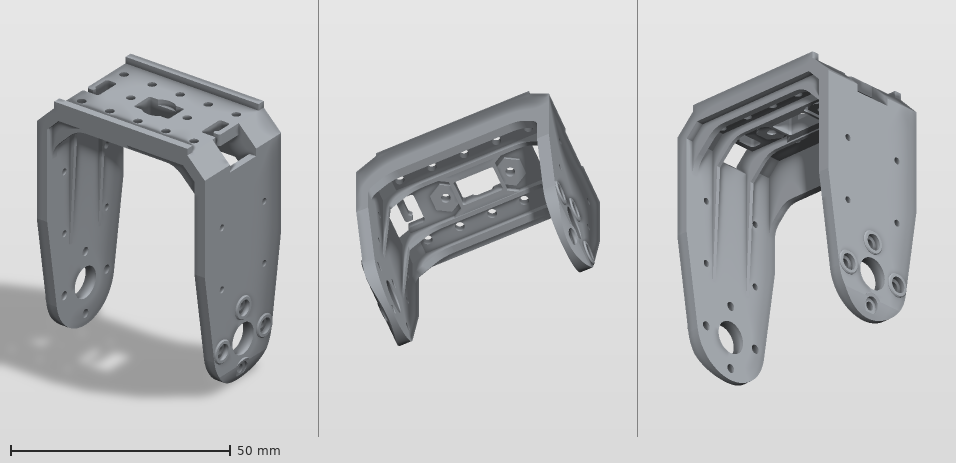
import cadquery as cq
import math


WIDTH_Y = 29.0
HALF_Y = WIDTH_Y / 2
OUTER_X = 24.0
WALL = 3.0
INNER_X = OUTER_X - WALL
PLATE_X = 19.0
TIP_R = 11.0
TOP_Z = 64.7 - TIP_R
RAIL_H = 1.7
RAIL_W = 1.95
PLATE_TOP = TOP_Z - RAIL_H
PLATE_BOTTOM = PLATE_TOP - WALL
CORNER = OUTER_X - PLATE_X
INNER_SHIFT = WALL * math.tan(math.radians(22.5))
TAPER_Z = 21.85

TIP_BEVEL_Z = -6.35
TIP_EDGE = 1.5
TIP_BULGE = 0.2
BOSS_CUT_RISE = 1.15

PITCH = 8.0
HUB_R = 4.0
SCREW_R = 1.1
SIDE_HOLE_R = 0.85
BOSS_R = 3.0
BOSS_H = 0.4
BOSS_CHAMFER = 0.25
COUNTERBORE_R = 2.0
COUNTERBORE_DEPTH = 1.3

CABLE_X = 10.0
CABLE_Y = 6.1
CABLE_FILLET = 0.5
RECESS_DEPTH = 1.5
SLOT_INNER_X = 14.6
SLOT_OUTER_X = 17.65
SLOT_Y = 3.6
MOUTH_Y = -2.2
BARB_X = 16.95
BARB_START_Y = -0.7
BARB_FULL_Y = -1.4
BARB_TIP = 0.25
SLOT_FILLET = 0.7
HOOK_R = 0.7
LIP_R = 0.4

WINDOW_Y = 5.0
WINDOW_BOTTOM = TOP_Z - 8.6
SILL_CHAMFER = 1.1

RIB_T = 1.0
RIB_END_Z = 12.3
RIB_SLOPE = 0.05
FRONT_WEB_T = 1.7
WEB_FACE_Y = HALF_Y - RAIL_W
ARCH_Z = TOP_Z - 6.7
ARCH_X = 14.05
ARCH_FILLET = 6.5
REAR_WEB_Z = TOP_Z - 15.8
REAR_WEB_X = 16.1
REAR_WEB_FILLET = 5.2

FRAME_BOTTOM = TOP_Z - 6.35
FRAME_X = 5.7
FRAME_Y = 3.6
FLARE_ANGLE = 60.0
PAD_R = 3.6
PAD_H = 1.0


def bar_y(points, y0, y1):
    """Prism with an XZ outline, reaching from y0 to y1."""
    return cq.Workplane("XZ", origin=(0, y1, 0)).polyline(points).close().extrude(y1 - y0)


def box(x0, x1, y0, y1, z0, z1):
    return cq.Workplane("XY").box(x1 - x0, y1 - y0, z1 - z0, centered=False).translate((x0, y0, z0))


def both_ends(shape):
    return shape.union(shape.mirror("YZ"))


def drill_z(points, radius, z0, z1):
    return cq.Workplane("XY", origin=(0, 0, z0)).pushPoints(points).circle(radius).extrude(z1 - z0)


def drill_x(points, radius, x0, x1):
    return cq.Workplane("YZ", origin=(x0, 0, 0)).pushPoints(points).circle(radius).extrude(x1 - x0)


def mirrored(points):
    """Complete a right-hand outline with its left-hand half."""
    return points + [(-x, z) for x, z in reversed(points)]


INNER_OUTLINE = [
    (INNER_X, -TIP_R),
    (INNER_X, PLATE_TOP - CORNER - INNER_SHIFT),
    (PLATE_X - INNER_SHIFT, PLATE_BOTTOM),
]
INNER_SPACE = mirrored(INNER_OUTLINE)


def shell():
    outer = mirrored([
        (OUTER_X, -TIP_R),
        (OUTER_X, PLATE_TOP - CORNER),
        (PLATE_X, PLATE_TOP),
    ])
    body = bar_y(outer, -HALF_Y, HALF_Y).cut(bar_y(INNER_SPACE, -HALF_Y, HALF_Y))
    for y0 in (-HALF_Y, HALF_Y - RAIL_W):
        body = body.union(box(-PLATE_X, PLATE_X, y0, y0 + RAIL_W, PLATE_TOP, TOP_Z))
    return body


def arch_opening(y0, y1, bottom_z, corner_x, fillet):
    """Space below an arch whose lower edge is at bottom_z, with 45 degree haunches."""
    leg_z = bottom_z - (INNER_X - corner_x)
    outline = mirrored([(INNER_X, -TIP_R), (INNER_X, leg_z), (corner_x, bottom_z)])
    above_tips = cq.selectors.BoxSelector((-OUTER_X, -HALF_Y, 0), (OUTER_X, HALF_Y, TOP_Z))
    return bar_y(outline, y0, y1).edges("|Y").edges(above_tips).fillet(fillet)


def front_web():
    y0 = -WEB_FACE_Y
    y1 = y0 + FRONT_WEB_T
    arch = arch_opening(y0, y1, ARCH_Z, ARCH_X, ARCH_FILLET)
    return bar_y(INNER_SPACE, y0, y1).cut(arch)


def rear_web():
    arch = arch_opening(WEB_FACE_Y, HALF_Y, REAR_WEB_Z, REAR_WEB_X, REAR_WEB_FILLET)
    return bar_y(INNER_SPACE, WEB_FACE_Y, HALF_Y).cut(arch)


def ribs():
    """Arched ribs beside the windows, running out along the legs with a slight taper."""
    y0 = WINDOW_Y
    y1 = y0 + RIB_T
    top_x = INNER_X - RIB_SLOPE * (PLATE_BOTTOM - RIB_END_Z)
    leg_taper = mirrored([(INNER_X, -TIP_R), (INNER_X, RIB_END_Z), (top_x, PLATE_BOTTOM)])
    arch = arch_opening(y0, y1, ARCH_Z, ARCH_X, ARCH_FILLET)
    rib = bar_y(INNER_SPACE, y0, y1).cut(arch.intersect(bar_y(leg_taper, y0, y1)))
    return rib.union(rib.mirror("XZ"))


def underside_frame():
    flare_x = FRAME_X + (WINDOW_Y - FRAME_Y) * math.tan(math.radians(FLARE_ANGLE))
    corners = [(FRAME_X, FRAME_Y), (flare_x, WINDOW_Y)]
    half = [(x, -y) for x, y in reversed(corners)] + corners
    outline = half + [(-x, -y) for x, y in half]
    frame = cq.Workplane("XY", origin=(0, 0, FRAME_BOTTOM)).polyline(outline).close()
    frame = frame.extrude(PLATE_BOTTOM - FRAME_BOTTOM)
    pads = cq.Workplane("XY", origin=(0, 0, PLATE_BOTTOM - PAD_H))
    pads = pads.transformed(rotate=(0, 0, 90)).pushPoints([(0, -PITCH), (0, PITCH)])
    pads = pads.polygon(6, 2 * PAD_R).extrude(PAD_H)
    return frame.union(pads)


def leg_outline():
    """Side outline of the bracket: straight, tapering, then round at the tip."""
    reach = math.hypot(HALF_Y, TAPER_Z)
    angle = math.atan2(TAPER_Z, HALF_Y) - math.acos(TIP_R / reach)
    tangent_y = TIP_R * math.cos(angle)
    tangent_z = TIP_R * math.sin(angle)
    return (
        cq.Workplane("YZ", origin=(-2 * OUTER_X, 0, 0))
        .moveTo(-HALF_Y, TOP_Z)
        .lineTo(-HALF_Y, TAPER_Z)
        .lineTo(-tangent_y, tangent_z)
        .threePointArc((0, -TIP_R), (tangent_y, tangent_z))
        .lineTo(HALF_Y, TAPER_Z)
        .lineTo(HALF_Y, TOP_Z)
        .close()
        .extrude(4 * OUTER_X)
    )


HUB_SCREWS = [(0, PITCH), (PITCH, 0), (0, -PITCH), (-PITCH, 0)]


def hub_bosses():
    boss = drill_x(HUB_SCREWS, BOSS_R, OUTER_X, OUTER_X + BOSS_H)
    return both_ends(boss.faces(">X").edges().chamfer(BOSS_CHAMFER))


def hub_counterbores():
    rim_x = OUTER_X + BOSS_H
    return both_ends(drill_x(HUB_SCREWS, COUNTERBORE_R, rim_x - COUNTERBORE_DEPTH, rim_x))


def leg_holes():
    reach = 2 * OUTER_X
    side = [(y, z) for y in (-PITCH, PITCH) for z in (2 * PITCH, 4 * PITCH)]
    holes = drill_x([(0, 0)], HUB_R, -reach, reach)
    holes = holes.union(drill_x(HUB_SCREWS, SCREW_R, -reach, reach))
    return holes.union(drill_x(side, SIDE_HOLE_R, -reach, reach))


def tip_bevels():
    edge_x = INNER_X + TIP_EDGE
    middle_x = (OUTER_X + edge_x) / 2 + TIP_BULGE
    middle_z = (TIP_BEVEL_Z - TIP_R) / 2
    cutter = (
        cq.Workplane("XZ", origin=(0, HALF_Y, 0))
        .moveTo(edge_x, -TIP_R)
        .threePointArc((middle_x, middle_z), (OUTER_X, TIP_BEVEL_Z))
        .lineTo(OUTER_X + BOSS_H, TIP_BEVEL_Z + BOSS_CUT_RISE)
        .lineTo(OUTER_X + BOSS_H, -TIP_R)
        .close()
        .extrude(WIDTH_Y)
    )
    return both_ends(cutter)


def windows():
    """Openings through the bevelled corners, with a chamfered inner sill."""
    outline = [
        (PLATE_X, PLATE_TOP),
        (PLATE_X, WINDOW_BOTTOM - SILL_CHAMFER),
        (INNER_X, WINDOW_BOTTOM - SILL_CHAMFER),
        (INNER_X + SILL_CHAMFER, WINDOW_BOTTOM),
        (OUTER_X, WINDOW_BOTTOM),
        (OUTER_X, PLATE_TOP),
    ]
    below_plate = box(PLATE_X - WALL, PLATE_X, -WINDOW_Y, WINDOW_Y, WINDOW_BOTTOM, PLATE_BOTTOM)
    return both_ends(bar_y(outline, -WINDOW_Y, WINDOW_Y).union(below_plate))


def hook_slots():
    """Slots open to the plate ends, leaving a barbed hook at each end."""
    depth = PLATE_TOP - FRAME_BOTTOM
    slot = box(SLOT_INNER_X, SLOT_OUTER_X, -SLOT_Y, SLOT_Y, FRAME_BOTTOM, PLATE_TOP)
    slot = slot.edges("|Z").fillet(SLOT_FILLET)
    mouth = (
        cq.Workplane("XY", origin=(0, 0, FRAME_BOTTOM))
        .moveTo(SLOT_INNER_X + SLOT_FILLET, -SLOT_Y)
        .lineTo(PLATE_X - LIP_R, -SLOT_Y)
        .radiusArc((PLATE_X, -SLOT_Y - LIP_R), LIP_R)
        .lineTo(PLATE_X, MOUTH_Y + HOOK_R)
        .radiusArc((PLATE_X - HOOK_R, MOUTH_Y), HOOK_R)
        .lineTo(SLOT_INNER_X + SLOT_FILLET, MOUTH_Y)
        .close()
        .extrude(depth)
    )
    barb = (
        cq.Workplane("XY", origin=(0, 0, FRAME_BOTTOM))
        .moveTo(SLOT_OUTER_X, BARB_START_Y)
        .lineTo(BARB_X, BARB_FULL_Y)
        .lineTo(BARB_X + BARB_TIP, MOUTH_Y)
        .lineTo(SLOT_OUTER_X, MOUTH_Y)
        .close()
        .extrude(depth)
    )
    return both_ends(slot.union(mouth).cut(barb))


def plate_openings():
    screws = [(i * PITCH, j * PITCH) for i in range(-2, 3) for j in (-1, 1)]
    screws += [(-PITCH, 0), (PITCH, 0)]
    cable = box(-CABLE_X / 2, CABLE_X / 2, -CABLE_Y / 2, CABLE_Y / 2, FRAME_BOTTOM, PLATE_TOP)
    cable = cable.edges("|Z").fillet(CABLE_FILLET)
    recess = drill_z([(0, 0)], HUB_R, PLATE_TOP - RECESS_DEPTH, PLATE_TOP)
    return drill_z(screws, SCREW_R, FRAME_BOTTOM, PLATE_TOP).union(cable).union(recess)


body = shell()
body = body.union(front_web()).union(rear_web()).union(ribs()).union(underside_frame())
body = body.intersect(leg_outline())
body = body.union(hub_bosses()).cut(tip_bevels())
body = body.cut(hub_counterbores()).cut(leg_holes())
body = body.cut(windows()).cut(hook_slots()).cut(plate_openings())

result = body